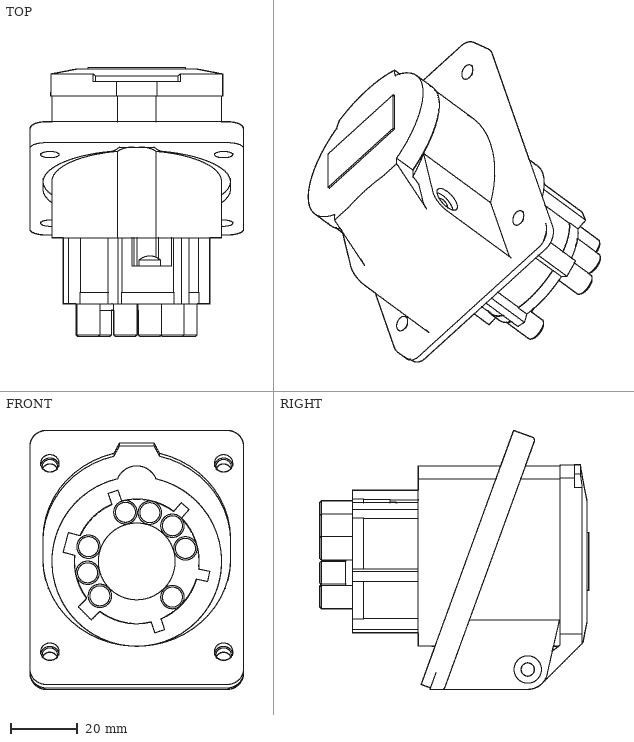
import cadquery as cq
import math


BARREL_RADIUS = 25.4
BARREL_FRONT = 42.5
LOBE_CENTRE_Z = 22.4
LOBE_RADIUS = 6.2

LID_RADIUS = 25.75
LID_CLEARANCE = LID_RADIUS - BARREL_RADIUS
LID_TAB_RADIUS = 29.0
LID_TAB_BACK = 46.8
LID_TAB_BASE_HALF = 13.1
LID_TAB_TIP_HALF = 11.9
LID_TAB_BASE_Z = 22.1
DOME_EDGE = 48.55
DOME_RIM = 49.1
DOME_TOP = 50.6
DOME_FLAT_RADIUS = 18.0
LABEL_WIDTH = 29.2
LABEL_HEIGHT = 17.4
LABEL_FACE = 51.1

PLATE_TILT = 20.0
PLATE_WIDTH = 64.0
PLATE_LENGTH = 81.0
PLATE_THICKNESS = 7.0
PLATE_CORNER = 5.0
COVER_OVERHANG = 20.0
PLATE_EDGE_FILLET = 1.0
PLATE_CENTRE_Y = 14.7
PLATE_CENTRE_Z = 1.2
GASKET_THICKNESS = 3.0
RECESS_DEPTH = 2.5
GASKET_HOLE_RADIUS = 2.75
SCREW_HOLE_RADIUS = 2.3
SCREW_PITCH_X = 52.0
SCREW_PITCH_V = 60.0
OPENING_RADIUS = 28.1
OPENING_UPPER_V = 5.9
OPENING_LOWER_V = -0.2
NOTCH_TOP_V = 36.4
NOTCH_TOP_HALF = 5.2
NOTCH_BASE_V = 33.0
NOTCH_BASE_HALF = 6.9

PART_HEIGHT = 77.61
HINGE_HALF_WIDTH = 18.4
HINGE_PIN_Y = 32.8
HINGE_RADIUS = 6.0
HINGE_HOLE_RADIUS = 1.95
HINGE_BORE_RADIUS = 4.1
HINGE_BORE_DEPTH = 2.0
CHEEK_TOP_Y = 42.3
CHEEK_TOP_Z = -17.5
CHEEK_END_ANGLE = 20.0
ARM_HALF_WIDTH = 13.9
ARM_ANGLE = 45.0
ARM_TOP_Z = -20.0
ARM_REAR_Z = -25.0

BODY_RADIUS = 18.5
FLANGE_RADIUS = 18.7
FLANGE_THICKNESS = 3.4
INSERT_LENGTH = 19.7
HUB_RADIUS = 11.5
HUB_HEIGHT = 2.0
RIB_TIP_RADIUS = 22.0
RIB_ROOT_RADIUS = 16.0
RIBS = [(48.8, 3.1), (108.8, 3.1), (-11.8, 3.1), (-71.8, 3.1), (165.0, 6.1), (225.0, 5.5)]
PIN_RADIUS = 3.5
PIN_CIRCLE = 15.1
PIN_END = 29.5
PIN_CHAMFER = 0.5
PIN_ANGLES = [15, 45, 75, 103, 163, 193, 223, 315]
WINDOW_ANGLES = [75, 223]
WINDOW_HALF_SPAN = 19.3
WINDOW_LENGTH = 8.4
WINDOW_INSET = 1.0
BORE_RADIUS = 3.2
BORE_CIRCLE = 12.4
STUD_RADIUS = 3.27
STUD_LENGTH = 1.75
STUD_DOME = 1.3

TILT_SIN = math.sin(math.radians(PLATE_TILT))
TILT_COS = math.cos(math.radians(PLATE_TILT))
PLATE_TOP_Z = PLATE_CENTRE_Z + PLATE_LENGTH / 2 * TILT_COS
PLATE_REARWARD = cq.Vector(0, -TILT_COS, TILT_SIN)
HINGE_BOTTOM_Z = PLATE_TOP_Z - PART_HEIGHT
HINGE_PIN_Z = HINGE_BOTTOM_Z + HINGE_RADIUS

ARM_SIN = math.sin(math.radians(ARM_ANGLE))
ARM_COS = math.cos(math.radians(ARM_ANGLE))
ARM_TANGENT_Y = HINGE_PIN_Y + HINGE_RADIUS * ARM_SIN
ARM_TANGENT_Z = HINGE_PIN_Z - HINGE_RADIUS * ARM_COS


def disc(radius, y_start, y_end, x=0.0, z=0.0):
    """Cylinder along Y."""
    plane = cq.Plane(origin=(x, y_start, z), xDir=(1, 0, 0), normal=(0, 1, 0))
    return cq.Workplane(plane).circle(radius).extrude(y_end - y_start)


def polar(radius, degrees):
    """Point (x, z) at an angle measured from +X towards +Z."""
    angle = math.radians(degrees)
    return radius * math.cos(angle), radius * math.sin(angle)


def across(sketch_points, half_width):
    """YZ polygon extruded symmetrically along X."""
    return cq.Workplane("YZ").polyline(sketch_points).close().extrude(half_width, both=True)


def make_barrel():
    lobe = disc(LOBE_RADIUS, 0, BARREL_FRONT, z=LOBE_CENTRE_Z)
    return disc(BARREL_RADIUS, 0, BARREL_FRONT).union(lobe)


def arm_underside_z(y):
    return ARM_TANGENT_Z + (y - ARM_TANGENT_Y) * ARM_SIN / ARM_COS


def make_lid():
    dome_profile = [
        (0, BARREL_FRONT),
        (LID_TAB_RADIUS, BARREL_FRONT),
        (LID_TAB_RADIUS, DOME_EDGE),
        (LID_RADIUS, DOME_RIM),
        (DOME_FLAT_RADIUS, DOME_TOP),
        (0, DOME_TOP),
    ]
    dome = cq.Workplane("XY").polyline(dome_profile).close().revolve(360, (0, 0, 0), (0, 1, 0))
    footprint = disc(LID_RADIUS, BARREL_FRONT, DOME_TOP)
    lobe = disc(LOBE_RADIUS + LID_CLEARANCE, BARREL_FRONT, LID_TAB_BACK, z=LOBE_CENTRE_Z)
    tab_outline = [
        (-LID_TAB_BASE_HALF, LID_TAB_BASE_Z),
        (-LID_TAB_TIP_HALF, LID_TAB_RADIUS),
        (LID_TAB_TIP_HALF, LID_TAB_RADIUS),
        (LID_TAB_BASE_HALF, LID_TAB_BASE_Z),
    ]
    tab = (
        cq.Workplane("XZ", origin=(0, LID_TAB_BACK, 0))
        .polyline(tab_outline)
        .close()
        .extrude(LID_TAB_BACK - DOME_TOP)
    )
    label_depth = LABEL_FACE - DOME_TOP
    label = cq.Workplane("XY").box(LABEL_WIDTH, label_depth, LABEL_HEIGHT)
    label = label.translate((0, DOME_TOP + label_depth / 2, 0))
    below_arm = across(
        [
            (ARM_TANGENT_Y, ARM_TANGENT_Z),
            (LABEL_FACE, arm_underside_z(LABEL_FACE)),
            (LABEL_FACE, ARM_TANGENT_Z),
        ],
        LID_RADIUS,
    )
    return dome.intersect(footprint.union(lobe).union(tab)).union(label).cut(below_arm)


def plate_frame(depth):
    """Workplane parallel to the plate, a given depth in front of its rear face, normal to the rear."""
    origin = (0, PLATE_CENTRE_Y + depth * TILT_COS, PLATE_CENTRE_Z - depth * TILT_SIN)
    return cq.Workplane(cq.Plane(origin=origin, xDir=(1, 0, 0), normal=PLATE_REARWARD))


def tilted_slab(rear_depth, front_depth, length):
    """Rounded slab parallel to the plate, keeping its upper end in place for any length."""
    shift = (PLATE_LENGTH - length) / 2
    return (
        plate_frame(front_depth)
        .center(0, shift)
        .rect(PLATE_WIDTH, length)
        .extrude(front_depth - rear_depth)
        .edges(cq.selectors.ParallelDirSelector(PLATE_REARWARD))
        .fillet(PLATE_CORNER)
    )


def make_plate():
    """Gasket layer with square-cut ends under a cover layer that is cut off level at the bottom."""
    gasket = tilted_slab(0, GASKET_THICKNESS, PLATE_LENGTH)
    cover = tilted_slab(GASKET_THICKNESS, PLATE_THICKNESS, PLATE_LENGTH + COVER_OVERHANG)
    level_outline = (
        cq.Workplane("XY")
        .box(PLATE_WIDTH, PART_HEIGHT, PART_HEIGHT)
        .edges("|Y and <Z")
        .fillet(PLATE_CORNER)
        .translate((0, PLATE_CENTRE_Y, HINGE_BOTTOM_Z + PART_HEIGHT / 2))
    )
    cover = cover.intersect(level_outline)
    front_face = cover.faces(cq.selectors.DirectionMinMaxSelector(PLATE_REARWARD, False))
    plate = gasket.union(front_face.edges().fillet(PLATE_EDGE_FILLET))
    recess = (
        plate_frame(RECESS_DEPTH)
        .moveTo(-OPENING_RADIUS, OPENING_UPPER_V)
        .threePointArc((0, OPENING_UPPER_V + OPENING_RADIUS), (OPENING_RADIUS, OPENING_UPPER_V))
        .lineTo(OPENING_RADIUS, OPENING_LOWER_V)
        .threePointArc((0, OPENING_LOWER_V - OPENING_RADIUS), (-OPENING_RADIUS, OPENING_LOWER_V))
        .close()
        .extrude(RECESS_DEPTH)
    )
    notch_outline = [
        (-NOTCH_BASE_HALF, OPENING_UPPER_V),
        (-NOTCH_BASE_HALF, NOTCH_BASE_V),
        (-NOTCH_TOP_HALF, NOTCH_TOP_V),
        (NOTCH_TOP_HALF, NOTCH_TOP_V),
        (NOTCH_BASE_HALF, NOTCH_BASE_V),
        (NOTCH_BASE_HALF, OPENING_UPPER_V),
    ]
    notch = plate_frame(RECESS_DEPTH).polyline(notch_outline).close().extrude(RECESS_DEPTH)
    return plate.cut(recess).cut(notch)


def plate_holes(depth, radius):
    """Screw hole cutters reaching from a given depth to the rear face."""
    frame = plate_frame(depth).rect(SCREW_PITCH_X, SCREW_PITCH_V, forConstruction=True)
    return frame.vertices().circle(radius).extrude(depth)


def make_hinge():
    cheek_end = math.radians(CHEEK_END_ANGLE)
    cheek_end_y = HINGE_PIN_Y + HINGE_RADIUS * math.cos(cheek_end)
    cheek_end_z = HINGE_PIN_Z - HINGE_RADIUS * math.sin(cheek_end)
    plate_slope = TILT_SIN / TILT_COS
    plate_mid_y = PLATE_CENTRE_Y + PLATE_THICKNESS / 2 / TILT_COS
    cheek_plate_y = plate_mid_y + (CHEEK_TOP_Z - PLATE_CENTRE_Z) * plate_slope
    bottom_plate_y = plate_mid_y + (HINGE_BOTTOM_Z - PLATE_CENTRE_Z) * plate_slope
    cheeks = across(
        [
            (CHEEK_TOP_Y, CHEEK_TOP_Z),
            (cheek_end_y, cheek_end_z),
            (HINGE_PIN_Y, HINGE_PIN_Z),
            (HINGE_PIN_Y, HINGE_BOTTOM_Z),
            (bottom_plate_y, HINGE_BOTTOM_Z),
            (cheek_plate_y, CHEEK_TOP_Z),
        ],
        HINGE_HALF_WIDTH,
    )
    knuckle = cq.Workplane("YZ").center(HINGE_PIN_Y, HINGE_PIN_Z).circle(HINGE_RADIUS)
    knuckle = knuckle.extrude(HINGE_HALF_WIDTH, both=True)
    arm = across(
        [
            (BARREL_FRONT, ARM_TOP_Z),
            (DOME_RIM, ARM_TOP_Z),
            (DOME_RIM, arm_underside_z(DOME_RIM)),
            (ARM_TANGENT_Y, ARM_TANGENT_Z),
            (HINGE_PIN_Y, HINGE_PIN_Z),
            (BARREL_FRONT, ARM_REAR_Z),
        ],
        ARM_HALF_WIDTH,
    )
    return cheeks.union(knuckle).union(arm)


def hinge_bores():
    axis = cq.Workplane("YZ").center(HINGE_PIN_Y, HINGE_PIN_Z)
    bores = axis.circle(HINGE_HOLE_RADIUS).extrude(HINGE_HALF_WIDTH, both=True)
    counterbore = axis.circle(HINGE_BORE_RADIUS).extrude(HINGE_BORE_DEPTH)
    for start_x in (-HINGE_HALF_WIDTH, HINGE_HALF_WIDTH - HINGE_BORE_DEPTH):
        bores = bores.union(counterbore.translate((start_x, 0, 0)))
    return bores


def make_rib(degrees, width):
    length = RIB_TIP_RADIUS - RIB_ROOT_RADIUS
    rib = cq.Workplane("XY").box(length, INSERT_LENGTH, width)
    rib = rib.translate((RIB_ROOT_RADIUS + length / 2, -INSERT_LENGTH / 2, 0))
    return rib.rotate((0, 0, 0), (0, 1, 0), -degrees)


def make_pin(degrees):
    x, z = polar(PIN_CIRCLE, degrees)
    return disc(PIN_RADIUS, -PIN_END, -INSERT_LENGTH, x, z).faces("<Y").chamfer(PIN_CHAMFER)


def make_sector(degrees, outer_radius, y_start, y_end):
    """Annular sector cutter from the hub radius outwards."""
    start = degrees - WINDOW_HALF_SPAN
    end = degrees + WINDOW_HALF_SPAN
    return (
        cq.Workplane("XZ", origin=(0, y_end, 0))
        .moveTo(*polar(HUB_RADIUS, start))
        .lineTo(*polar(outer_radius, start))
        .threePointArc(polar(outer_radius, degrees), polar(outer_radius, end))
        .lineTo(*polar(HUB_RADIUS, end))
        .threePointArc(polar(HUB_RADIUS, degrees), polar(HUB_RADIUS, start))
        .close()
        .extrude(y_end - y_start)
    )


def make_window(degrees):
    """Opening in the insert's side, sunk a little into the barrel, with a bore along its floor."""
    opening = make_sector(degrees, FLANGE_RADIUS, -WINDOW_LENGTH, 0)
    inset = make_sector(degrees, BODY_RADIUS, -WINDOW_LENGTH, WINDOW_INSET)
    x, z = polar(BORE_CIRCLE, degrees)
    return opening.union(inset).union(disc(BORE_RADIUS, -WINDOW_LENGTH, WINDOW_INSET, x, z))


def make_stud(degrees):
    """Domed terminal end standing at the rear of a window."""
    x, z = polar(PIN_CIRCLE, degrees)
    stud_top = STUD_LENGTH - WINDOW_LENGTH
    dome_radius = (STUD_RADIUS**2 + STUD_DOME**2) / (2 * STUD_DOME)
    ball = cq.Workplane("XY").sphere(dome_radius).translate((x, stud_top + STUD_DOME - dome_radius, z))
    return disc(STUD_RADIUS, -WINDOW_LENGTH, stud_top + STUD_DOME, x, z).intersect(ball)


def add_insert(body):
    insert = body.union(disc(BODY_RADIUS, -INSERT_LENGTH, 0))
    insert = insert.union(disc(FLANGE_RADIUS, -INSERT_LENGTH, FLANGE_THICKNESS - INSERT_LENGTH))
    for degrees in WINDOW_ANGLES:
        insert = insert.cut(make_window(degrees)).union(make_stud(degrees))
    insert = insert.union(disc(HUB_RADIUS, -INSERT_LENGTH - HUB_HEIGHT, -INSERT_LENGTH))
    for degrees, width in RIBS:
        insert = insert.union(make_rib(degrees, width))
    for degrees in PIN_ANGLES:
        insert = insert.union(make_pin(degrees))
    return insert


plate_and_hinge = make_plate().union(make_hinge().cut(hinge_bores()))
plate_and_hinge = plate_and_hinge.cut(plate_holes(PLATE_THICKNESS, SCREW_HOLE_RADIUS))
plate_and_hinge = plate_and_hinge.cut(plate_holes(GASKET_THICKNESS, GASKET_HOLE_RADIUS))
result = add_insert(make_barrel().union(plate_and_hinge).union(make_lid()))